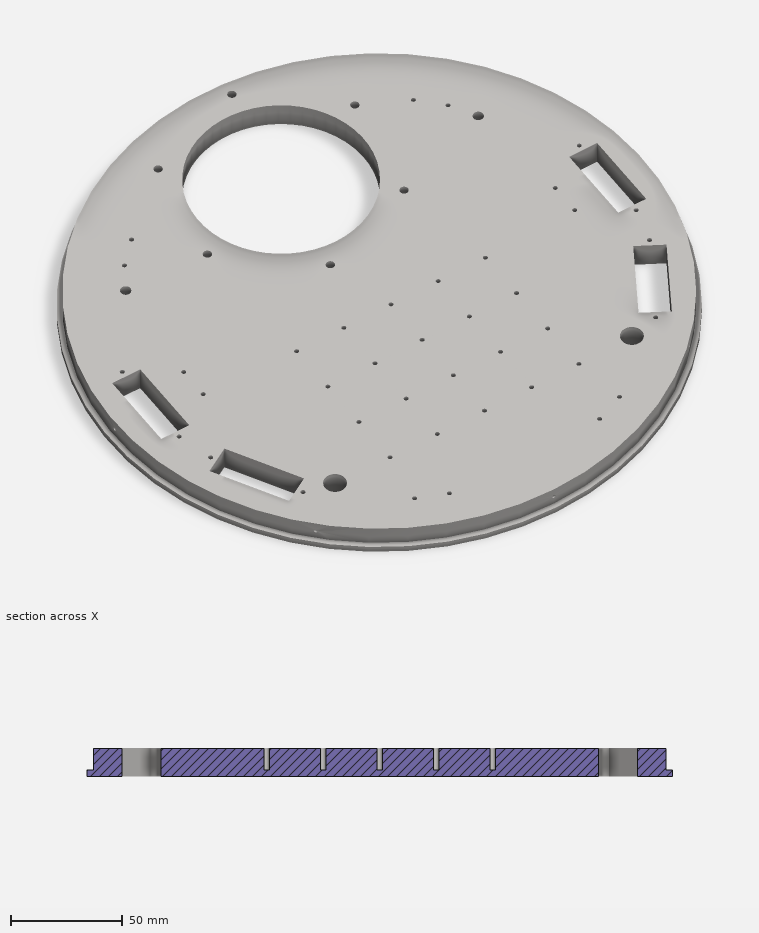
import cadquery as cq
import math

THICKNESS = 12.7
FLANGE_DIAMETER = 290.0
FLANGE_HEIGHT = 3.175
BODY_DIAMETER = 284.82
BODY_HEIGHT = THICKNESS - FLANGE_HEIGHT

OPENING_DIAMETER = 88.9
OPENING_X = -80.0
RING_RADIUS = 55.6
RING_HOLE_DIAMETER = 4.2
RING_HOLE_COUNT = 6
RING_START_ANGLE = 50

WINDOW_LENGTH = 40
WINDOW_WIDTH = 15
WINDOW_RADIUS = 123.0
WINDOW_ANGLES = (60.0, 90.0)
WINDOW_HOLE_OFFSET = 23.2
WINDOW_HOLE_DIAMETER = 2.26

PAIR_PLACES = ((124.9, 22.5), (100.0, 90.0), (115.2, 135.0))
PAIR_SPACING = 15.875
PAIR_HOLE_DIAMETER = 2.26

GRID_PITCH = 25.4
GRID_COLUMNS = 4
GRID_ROWS = 5
GRID_FIRST_X = 9.6
GRID_HOLE_DIAMETER = 2.26
GRID_HOLE_DEPTH = 9.525

CABLE_HOLE_DIAMETER = 10.72
CABLE_HOLE_X = 85.0
CABLE_HOLE_Y = 79.9
MOUNT_HOLE_DIAMETER = 5.11
MOUNT_HOLE_X = -63.0
MOUNT_HOLE_Y = 94.9

RIM_HOLE_COUNT = 8
RIM_HOLE_DIAMETER = 1.78
RIM_HOLE_DEPTH = 9.525
RIM_HOLE_Z = FLANGE_HEIGHT + BODY_HEIGHT / 2


def polar(radius, angle, across=0.0):
    """Point at a radius and angle in degrees, shifted across that radius."""
    a = math.radians(angle)
    x = radius * math.cos(a) - across * math.sin(a)
    y = radius * math.sin(a) + across * math.cos(a)
    return x, y


def both_sides(points):
    """The points together with their mirror images about the X axis."""
    return points + [(x, -y) for x, y in points]


def through_holes(points, diameter):
    return cq.Workplane("XY").pushPoints(points).circle(diameter / 2).extrude(THICKNESS)


def stepped_disc():
    flange = cq.Workplane("XY").circle(FLANGE_DIAMETER / 2).extrude(FLANGE_HEIGHT)
    return flange.faces(">Z").workplane().circle(BODY_DIAMETER / 2).extrude(BODY_HEIGHT)


def cut_opening(part):
    step = 360.0 / RING_HOLE_COUNT
    ring = [polar(RING_RADIUS, RING_START_ANGLE + i * step) for i in range(RING_HOLE_COUNT)]
    ring = [(OPENING_X + x, y) for x, y in ring]
    part = part.cut(through_holes([(OPENING_X, 0)], OPENING_DIAMETER))
    return part.cut(through_holes(ring, RING_HOLE_DIAMETER))


def cut_windows(part):
    for angle in WINDOW_ANGLES:
        for side_angle in (angle, -angle):
            window = (
                cq.Workplane("XY")
                .center(WINDOW_RADIUS, 0)
                .rect(WINDOW_WIDTH, WINDOW_LENGTH)
                .extrude(THICKNESS)
                .rotate((0, 0, 0), (0, 0, 1), side_angle)
            )
            offsets = (-WINDOW_HOLE_OFFSET, WINDOW_HOLE_OFFSET)
            screws = [polar(WINDOW_RADIUS, side_angle, offset) for offset in offsets]
            part = part.cut(window).cut(through_holes(screws, WINDOW_HOLE_DIAMETER))
    return part


def cut_hole_pairs(part):
    half = PAIR_SPACING / 2
    points = [polar(radius, angle, s) for radius, angle in PAIR_PLACES for s in (-half, half)]
    return part.cut(through_holes(both_sides(points), PAIR_HOLE_DIAMETER))


def cut_single_holes(part):
    cable_holes = both_sides([(CABLE_HOLE_X, CABLE_HOLE_Y)])
    mount_holes = both_sides([(MOUNT_HOLE_X, MOUNT_HOLE_Y)])
    part = part.cut(through_holes(cable_holes, CABLE_HOLE_DIAMETER))
    return part.cut(through_holes(mount_holes, MOUNT_HOLE_DIAMETER))


def cut_grid(part):
    centre_x = GRID_FIRST_X + GRID_PITCH * (GRID_COLUMNS - 1) / 2
    holes = (
        cq.Workplane("XY")
        .workplane(offset=THICKNESS - GRID_HOLE_DEPTH)
        .center(centre_x, 0)
        .rarray(GRID_PITCH, GRID_PITCH, GRID_COLUMNS, GRID_ROWS)
        .circle(GRID_HOLE_DIAMETER / 2)
        .extrude(GRID_HOLE_DEPTH)
    )
    return part.cut(holes)


def cut_rim_holes(part):
    drill = (
        cq.Workplane("YZ")
        .workplane(offset=BODY_DIAMETER / 2 - RIM_HOLE_DEPTH)
        .center(0, RIM_HOLE_Z)
        .circle(RIM_HOLE_DIAMETER / 2)
        .extrude(FLANGE_DIAMETER / 2)
    )
    for i in range(RIM_HOLE_COUNT):
        part = part.cut(drill.rotate((0, 0, 0), (0, 0, 1), i * 360.0 / RIM_HOLE_COUNT))
    return part


result = stepped_disc()
result = cut_opening(result)
result = cut_windows(result)
result = cut_hole_pairs(result)
result = cut_single_holes(result)
result = cut_grid(result)
result = cut_rim_holes(result)